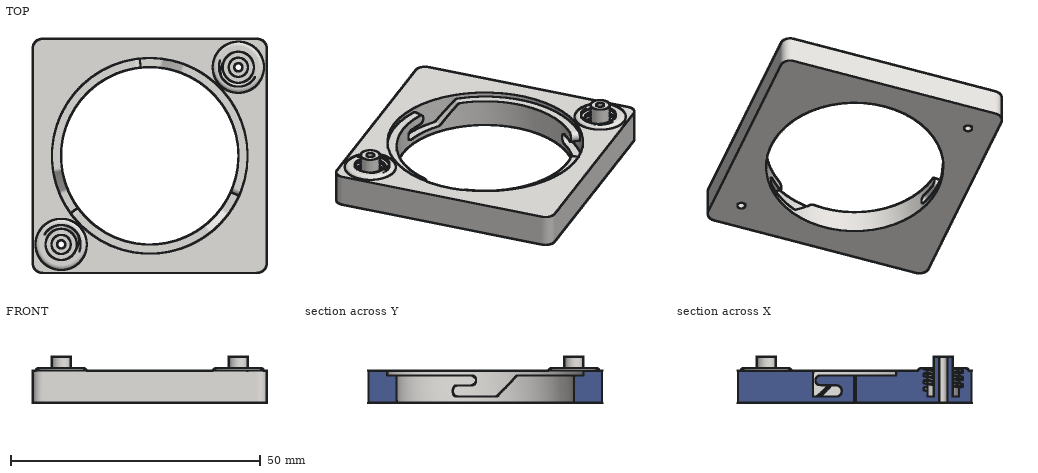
import cadquery as cq
import math

PLATE_SIDE = 47.05
PLATE_HEIGHT = 6.5
CORNER_RADIUS = 2.0
TOTAL_HEIGHT = 9.27

BORE_RADIUS = 17.8
LEDGE_RADIUS = 19.65
LEDGE_Z = 5.55

SLOT_COUNT = 3
SLOT_FLOOR_Z = 1.3
SLOT_GAP = 2.2
SLOT_CENTRE_ANGLE = 90.0
RAMP_TOP_ANGLE = -20.95
RAMP_BOTTOM_ANGLE = -7.45
LUG_ANGLE = 9.0
SLOT_END_ANGLE = 18.2
RAMP_ROUNDING = 0.8
SLOT_CUTTER_START = 15.7
SLOT_MEAN_RADIUS = (BORE_RADIUS + LEDGE_RADIUS) / 2

BOSS_OFFSET = 17.78
COLLAR_RADIUS = 5.15
COLLAR_TOP_RADIUS = 4.25
COLLAR_HEIGHT = 0.55
PIN_RADIUS = 1.93
PIN_HOLE_RADIUS = 0.8
WELL_RADIUS = 3.13
WELL_FLOOR_Z = SLOT_FLOOR_Z

THREAD_ROOT_RADIUS = 3.9
THREAD_PITCH = 1.41
THREAD_ROOT_WIDTH = THREAD_PITCH / 3
THREAD_FLANK_ANGLE = 14.5
THREAD_TURNS = 3
THREAD_PEAK_ANGLE = -90.0

OVERLAP = 0.2
COLLAR_TOP_Z = PLATE_HEIGHT + COLLAR_HEIGHT


def cylinder(radius, z_bottom, z_top):
    return cq.Workplane("XY").workplane(offset=z_bottom).circle(radius).extrude(z_top - z_bottom)


def make_plate():
    plate = cq.Workplane("XY").rect(PLATE_SIDE, PLATE_SIDE).extrude(PLATE_HEIGHT)
    plate = plate.edges("|Z").fillet(CORNER_RADIUS)
    return plate.cut(cylinder(LEDGE_RADIUS, 0, PLATE_HEIGHT))


def rounded_corner(before, corner, after, radius):
    """Start, middle and end of the arc that rounds a corner of an outline."""
    corner = cq.Vector(*corner)
    to_before = (cq.Vector(*before) - corner).normalized()
    to_after = (cq.Vector(*after) - corner).normalized()
    half_angle = to_before.getAngle(to_after) / 2
    reach = radius / math.tan(half_angle)
    middle_reach = radius / math.sin(half_angle) - radius
    bisector = (to_before + to_after).normalized()
    points = (corner + to_before * reach, corner + bisector * middle_reach, corner + to_after * reach)
    return [(point.x, point.y) for point in points]


def slot_outline(distance):
    """Slot outline on an upright plane at a distance from the axis.

    Arc lengths on the mean radius are spread out from the axis, so that
    equal points on two such planes lie on one level, radial line.
    """
    def arc_length(angle):
        return SLOT_MEAN_RADIUS * math.radians(angle)

    def at(point):
        return (distance * math.tan(point[0] / SLOT_MEAN_RADIUS), point[1])

    ceiling_z = SLOT_FLOOR_Z + SLOT_GAP
    end_radius = SLOT_GAP / 2
    lug_radius = (LEDGE_Z - ceiling_z) / 2
    top_z = PLATE_HEIGHT + OVERLAP
    lug = arc_length(LUG_ANGLE)
    end = arc_length(SLOT_END_ANGLE)
    ramp_top = (arc_length(RAMP_TOP_ANGLE), LEDGE_Z)
    ramp_bottom = (arc_length(RAMP_BOTTOM_ANGLE), SLOT_FLOOR_Z)
    ledge_point = (arc_length(2 * RAMP_TOP_ANGLE), LEDGE_Z)
    floor_point = (end, SLOT_FLOOR_Z)
    upper = rounded_corner(ledge_point, ramp_top, ramp_bottom, RAMP_ROUNDING)
    lower = rounded_corner(ramp_top, ramp_bottom, floor_point, RAMP_ROUNDING)

    plane = cq.Plane(origin=(distance, 0, 0), xDir=(0, 1, 0), normal=(1, 0, 0))
    return (
        cq.Workplane(plane)
        .moveTo(*at(upper[0]))
        .threePointArc(at(upper[1]), at(upper[2]))
        .lineTo(*at(lower[0]))
        .threePointArc(at(lower[1]), at(lower[2]))
        .lineTo(*at(floor_point))
        .threePointArc(at((end + end_radius, SLOT_FLOOR_Z + end_radius)), at((end, ceiling_z)))
        .lineTo(*at((lug, ceiling_z)))
        .threePointArc(at((lug - lug_radius, LEDGE_Z - lug_radius)), at((lug, LEDGE_Z)))
        .lineTo(*at((lug, top_z)))
        .lineTo(*at((upper[0][0], top_z)))
        .close()
        .val()
    )


def make_slotted_ring():
    """Ring that forms the ledge and bore, with the bayonet slots cut through its wall."""
    ring = cylinder(LEDGE_RADIUS, 0, LEDGE_Z).cut(cylinder(BORE_RADIUS, 0, LEDGE_Z))
    inner = slot_outline(SLOT_CUTTER_START)
    outer = slot_outline(LEDGE_RADIUS + OVERLAP)
    cutter = cq.Workplane(cq.Solid.makeLoft([inner, outer], True))
    for index in range(SLOT_COUNT):
        angle = SLOT_CENTRE_ANGLE + index * 360 / SLOT_COUNT
        ring = ring.cut(cutter.rotate((0, 0, 0), (0, 0, 1), angle))
    return ring


def make_collar():
    """Collar whose outer edge is an arc tangent to its flat top."""
    run = COLLAR_RADIUS - COLLAR_TOP_RADIUS
    arc_radius = (run**2 + COLLAR_HEIGHT**2) / (2 * COLLAR_HEIGHT)
    half_sweep = math.asin(run / arc_radius) / 2
    middle_radius = COLLAR_TOP_RADIUS + arc_radius * math.sin(half_sweep)
    middle_z = COLLAR_TOP_Z - arc_radius * (1 - math.cos(half_sweep))
    return (
        cq.Workplane("XZ")
        .moveTo(0, WELL_FLOOR_Z)
        .lineTo(COLLAR_RADIUS, WELL_FLOOR_Z)
        .lineTo(COLLAR_RADIUS, PLATE_HEIGHT)
        .threePointArc((middle_radius, middle_z), (COLLAR_TOP_RADIUS, COLLAR_TOP_Z))
        .lineTo(0, COLLAR_TOP_Z)
        .close()
        .revolve(360, (0, 0, 0), (0, 1, 0))
    )


def make_thread_cutter():
    """Trapezoidal helical groove that runs out through the collar top."""
    crest_radius = WELL_RADIUS - OVERLAP
    depth = THREAD_ROOT_RADIUS - crest_radius
    root_half = THREAD_ROOT_WIDTH / 2
    crest_half = root_half + depth * math.tan(math.radians(THREAD_FLANK_ANGLE))
    section = [
        (crest_radius, -crest_half),
        (THREAD_ROOT_RADIUS, -root_half),
        (THREAD_ROOT_RADIUS, root_half),
        (crest_radius, crest_half),
    ]
    length = THREAD_PITCH * (THREAD_TURNS + 1)
    helices = [cq.Wire.makeHelix(THREAD_PITCH, length, r, cq.Vector(0, 0, z)) for r, z in section]
    faces = [cq.Face.makeRuledSurface(helices[i - 1], helices[i]) for i in range(len(helices))]
    for end_z in (0, length):
        corners = [cq.Vector(r, 0, z + end_z) for r, z in section]
        faces.append(cq.Face.makeFromWires(cq.Wire.makePolygon(corners, close=True)))
    groove = cq.Workplane(cq.Solid.makeSolid(cq.Shell.makeShell(faces)))
    groove = groove.rotate((0, 0, 0), (0, 0, 1), THREAD_PEAK_ANGLE)
    return groove.translate((0, 0, COLLAR_TOP_Z - THREAD_PITCH * THREAD_TURNS))


def add_bosses(body):
    collar = make_collar()
    well = cylinder(WELL_RADIUS, WELL_FLOOR_Z, COLLAR_TOP_Z + OVERLAP)
    thread = make_thread_cutter()
    pin = cylinder(PIN_RADIUS, WELL_FLOOR_Z - OVERLAP, TOTAL_HEIGHT)
    pin_hole = cylinder(PIN_HOLE_RADIUS, 0, TOTAL_HEIGHT)

    for turn in (0, 180):
        def place(shape):
            return shape.translate((BOSS_OFFSET, BOSS_OFFSET, 0)).rotate((0, 0, 0), (0, 0, 1), turn)

        body = body.union(place(collar))
        body = body.cut(place(well)).cut(place(thread))
        body = body.union(place(pin)).cut(place(pin_hole))
    return body


result = add_bosses(make_plate().union(make_slotted_ring()))